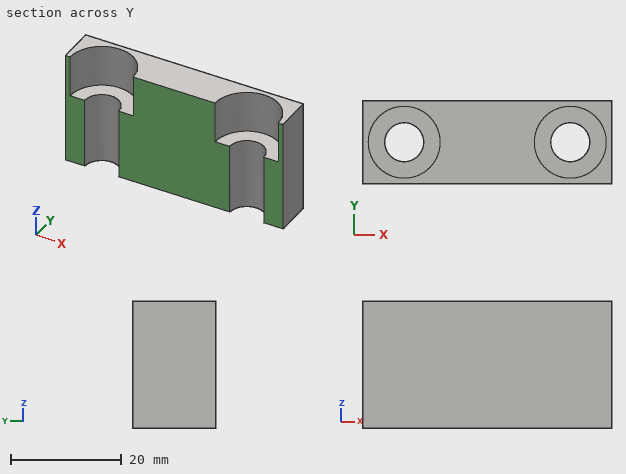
import cadquery as cq

length = 45.0
width = 15.0
height = 23.0

hole_spacing = 30.0
hole_diameter = 7.0
counterbore_diameter = 13.0
counterbore_depth = 8.5


def make_block():
    """Rectangular block centred on the origin."""
    return cq.Workplane("XY").box(length, width, height)


def cut_screw_holes(body):
    """Two through holes along the length, counterbored from the top face."""
    return (
        body.faces(">Z")
        .workplane()
        .pushPoints([(-hole_spacing / 2, 0), (hole_spacing / 2, 0)])
        .cboreHole(hole_diameter, counterbore_diameter, counterbore_depth)
    )


result = cut_screw_holes(make_block())